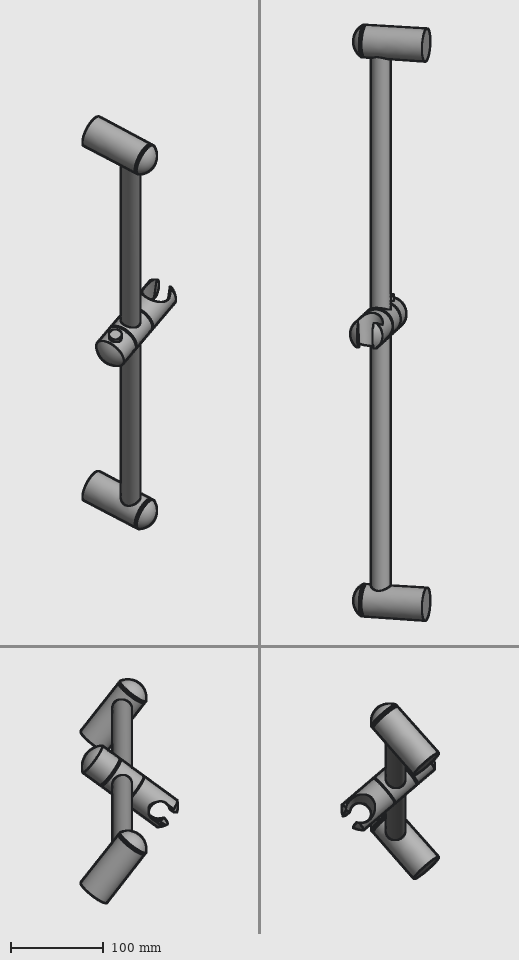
import cadquery as cq
import math

total_height = 657.5
rail_diameter = 22.0

bracket_base_diameter = 36.0
bracket_tip_diameter = 35.5
bracket_base_x = -50.5
bracket_tip_x = 30.0
bracket_groove_x = 17.0
bracket_dome_height = 10.5
bracket_spacing = total_height - bracket_base_diameter

groove_diameter = 32.0
groove_width = 1.0

slider_diameter = 36.0
slider_front_y = -48.5
slider_back_y = 70.0
knob_dome_height = 8.5
holder_dome_height = 8.5
knob_face_y = -15.0
joint_y = 16.0
joint_depth = 0.5
joint_width = 0.5

button_diameter = 14.0
button_y = -29.5
button_top_z = 22.5

waist_thickness = 28.0
waist_start_y = 37.5
waist_full_y = 47.5
socket_y = 50.0
socket_bottom_diameter = 22.0
socket_top_diameter = 32.0
slot_width = 17.0


def ring(inner_diameter, outer_diameter, width):
    return cq.Workplane("XY").circle(outer_diameter / 2).circle(inner_diameter / 2).extrude(width)


def domed_bar(base_radius, shoulder_radius, length, dome_height):
    """Round bar from Z = 0 to Z = length, ending in a spherical cap."""
    shoulder = length - dome_height
    sphere_radius = (shoulder_radius**2 + dome_height**2) / (2 * dome_height)
    sphere_z = length - sphere_radius
    half_angle = math.atan2(shoulder_radius, shoulder - sphere_z) / 2
    mid_point = (
        sphere_radius * math.sin(half_angle),
        sphere_z + sphere_radius * math.cos(half_angle),
    )
    return (
        cq.Workplane("XZ")
        .lineTo(base_radius, 0)
        .lineTo(shoulder_radius, shoulder)
        .threePointArc(mid_point, (0, length))
        .close()
        .revolve(360, (0, 0), (0, 1))
    )


def along_x(body, start_x):
    return body.rotate((0, 0, 0), (0, 1, 0), 90).translate((start_x, 0, 0))


def toward_front(body, start_y):
    return body.rotate((0, 0, 0), (1, 0, 0), 90).translate((0, start_y, 0))


def toward_back(body, start_y):
    return body.rotate((0, 0, 0), (1, 0, 0), -90).translate((0, start_y, 0))


def make_bracket(z):
    bracket = along_x(
        domed_bar(
            bracket_base_diameter / 2,
            bracket_tip_diameter / 2,
            bracket_tip_x - bracket_base_x,
            bracket_dome_height,
        ),
        bracket_base_x,
    )
    groove = along_x(ring(groove_diameter, 2 * bracket_base_diameter, groove_width), bracket_groove_x)
    return bracket.cut(groove).translate((0, 0, z))


def make_rail():
    """Rail with its two wall brackets as one body."""
    rail = cq.Workplane("XY").circle(rail_diameter / 2).extrude(bracket_spacing / 2, both=True)
    for z in (-bracket_spacing / 2, bracket_spacing / 2):
        rail = rail.union(make_bracket(z))
    return rail


def make_waist_cutters():
    """Material removed above and below the thinned end of the holder."""
    radius = slider_diameter / 2
    upper = (
        cq.Workplane("YZ")
        .polyline(
            [
                (waist_start_y, radius),
                (waist_full_y, waist_thickness / 2),
                (slider_back_y, waist_thickness / 2),
                (slider_back_y, radius),
            ]
        )
        .close()
        .extrude(radius, both=True)
    )
    return upper.union(upper.mirror("XY"))


def make_socket_cutter():
    """Tapered socket with a parallel slot opening toward +Y."""
    radius = slider_diameter / 2
    socket = (
        cq.Workplane("XY", origin=(0, socket_y, -radius))
        .circle(socket_bottom_diameter / 2)
        .workplane(offset=slider_diameter)
        .circle(socket_top_diameter / 2)
        .loft()
    )
    slot_length = slider_back_y - socket_y
    slot = cq.Workplane("XY").box(slot_width, slot_length, slider_diameter, centered=(True, False, True))
    return socket.union(slot.translate((0, socket_y, 0)))


def make_slider():
    """Clamp on the rail with the handset holder behind it."""
    radius = slider_diameter / 2
    slider = toward_back(
        domed_bar(radius, radius, slider_back_y - knob_face_y, holder_dome_height), knob_face_y
    )
    joint = toward_back(ring(slider_diameter - 2 * joint_depth, 2 * slider_diameter, joint_width), joint_y)
    rail_hole = cq.Workplane("XY").circle(rail_diameter / 2).extrude(slider_diameter, both=True)
    return slider.cut(joint).cut(rail_hole).cut(make_waist_cutters()).cut(make_socket_cutter())


def make_knob():
    """Domed clamp knob with a groove against the slider and a button on top."""
    radius = slider_diameter / 2
    knob = toward_front(domed_bar(radius, radius, knob_face_y - slider_front_y, knob_dome_height), knob_face_y)
    groove = toward_front(ring(groove_diameter, 2 * slider_diameter, groove_width), knob_face_y)
    button = (
        cq.Workplane("XY", origin=(0, button_y, 0)).circle(button_diameter / 2).extrude(button_top_z)
    )
    return knob.cut(groove).union(button)


rail = make_rail()
slider = make_slider()
knob = make_knob()

result = cq.Compound.makeCompound([rail.val(), slider.val(), knob.val()])